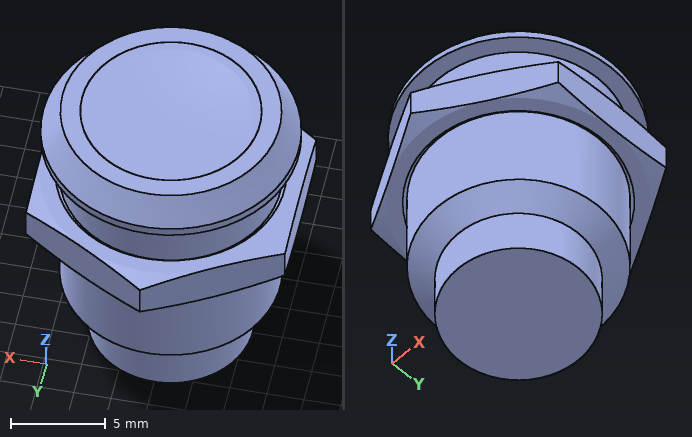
import cadquery as cq
import math


barrel_diameter = 11.8
flange_diameter = 13.8
flange_height = 2.0
flange_rim_height = 0.5
overall_length = 17.0
tail_diameter = 8.85
tail_length = 3.0
taper_angle = 35.0

recess_diameter = 9.6
button_diameter = 9.58
button_thickness = 2.0
dish_diameter = 8.57
dish_depth = 0.5

nut_across_flats = 14.0
nut_height = 2.35
nut_top_z = -3.0
nut_face_diameter = 13.96
nut_chamfer_angle = 15.0
nut_countersink_diameter = 12.25

tail_bottom_z = flange_height - overall_length
cone_bottom_z = tail_bottom_z + tail_length
cone_height = (barrel_diameter - tail_diameter) / 2 * math.tan(math.radians(taper_angle))
cone_top_z = cone_bottom_z + cone_height
recess_floor_z = flange_height - button_thickness


def revolve_about_z(profile):
    """Revolve a closed (radius, z) profile a full turn about the Z axis."""
    return profile.close().revolve(360, (0, 0, 0), (0, 1, 0))


def make_housing():
    """Flanged barrel with a tapered step to the tail and a recess for the button."""
    barrel_radius = barrel_diameter / 2
    flange_radius = flange_diameter / 2
    tail_radius = tail_diameter / 2
    recess_radius = recess_diameter / 2
    bevel_height = flange_height - flange_rim_height
    flange_top_radius = flange_radius - bevel_height * math.tan(math.radians(taper_angle))
    profile = (
        cq.Workplane("XZ")
        .moveTo(0, tail_bottom_z)
        .lineTo(tail_radius, tail_bottom_z)
        .lineTo(tail_radius, cone_bottom_z)
        .lineTo(barrel_radius, cone_top_z)
        .lineTo(barrel_radius, 0)
        .lineTo(flange_radius, 0)
        .lineTo(flange_radius, flange_rim_height)
        .lineTo(flange_top_radius, flange_height)
        .lineTo(recess_radius, flange_height)
        .lineTo(recess_radius, recess_floor_z)
        .lineTo(0, recess_floor_z)
    )
    return revolve_about_z(profile)


def make_button():
    """Round button with a shallow spherical finger dish in its top face."""
    dish_radius = dish_diameter / 2
    sphere_radius = (dish_radius**2 + dish_depth**2) / (2 * dish_depth)
    sphere_center_z = flange_height - dish_depth + sphere_radius
    disc = (
        cq.Workplane("XY")
        .workplane(offset=recess_floor_z)
        .circle(button_diameter / 2)
        .extrude(button_thickness)
    )
    dish = cq.Workplane("XY").sphere(sphere_radius).translate((0, 0, sphere_center_z))
    return disc.cut(dish)


def make_nut():
    """Hexagon nut, corners up and down Y, chamfered and countersunk on both faces."""
    across_corners = nut_across_flats / math.cos(math.radians(30))
    corner_radius = across_corners / 2
    face_radius = nut_face_diameter / 2
    bore_radius = barrel_diameter / 2
    countersink_radius = nut_countersink_diameter / 2
    countersink_depth = countersink_radius - bore_radius
    corner_drop = (corner_radius - face_radius) * math.tan(math.radians(nut_chamfer_angle))
    nut_bottom_z = nut_top_z - nut_height

    hexagon = (
        cq.Workplane("XY")
        .workplane(offset=nut_bottom_z)
        .transformed(rotate=(0, 0, 90))
        .polygon(6, across_corners)
        .extrude(nut_height)
    )
    turned_profile = (
        cq.Workplane("XZ")
        .moveTo(countersink_radius, nut_bottom_z)
        .lineTo(face_radius, nut_bottom_z)
        .lineTo(corner_radius, nut_bottom_z + corner_drop)
        .lineTo(corner_radius, nut_top_z - corner_drop)
        .lineTo(face_radius, nut_top_z)
        .lineTo(countersink_radius, nut_top_z)
        .lineTo(bore_radius, nut_top_z - countersink_depth)
        .lineTo(bore_radius, nut_bottom_z + countersink_depth)
    )
    return hexagon.intersect(revolve_about_z(turned_profile))


housing = make_housing()
button = make_button()
nut = make_nut()

result = cq.Compound.makeCompound([housing.val(), button.val(), nut.val()])